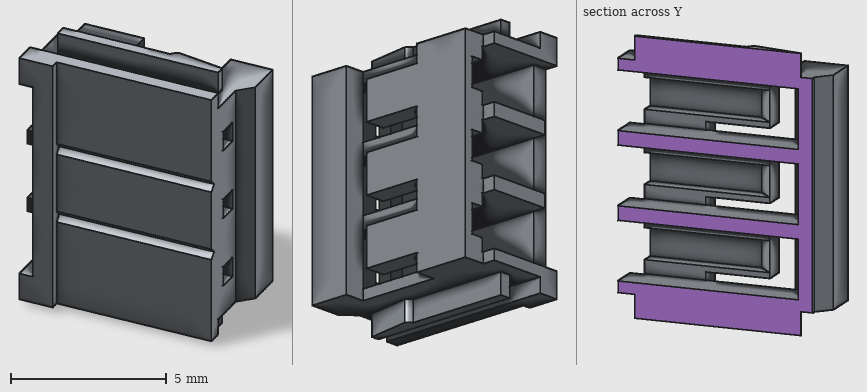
import cadquery as cq


LENGTH = 7.2
DEPTH = 3.8
HEIGHT = 9.4

POSITIONS = 3
PITCH = 2.5
PARTITION = 0.5
CAVITY_HEIGHT = PITCH - PARTITION
CAVITY_FRONT = 0.58
CAVITY_BACK = 3.01
SIDE_WALL = 0.4
END_WALL = 0.5
OPENING_HEIGHT = POSITIONS * PITCH - PARTITION
BODY_HEIGHT = OPENING_HEIGHT + 2 * SIDE_WALL
PIN_HOLE = 0.7
PIN_HOLE_Y = 1.485

BODY_LENGTH = 6.73
OPENING_SETBACK = 0.48
REAR_STEP_Y = 2.95
LATCH_OVERHANG = LENGTH - BODY_LENGTH
LATCH_Y = 2.06

PLATE_HEIGHT = 8.92
PLATE_DEPTH = 0.79
COLLAR_LENGTH = 1.19
COLLAR_RISE = 0.29
GROOVE_WIDTH = 0.395
GROOVE_DEPTH = 0.2

WINDOW_START = 2.6
WINDOW_END = 5.7
LANCE_END = 4.81
LANCE_HEIGHT = 1.46
CHANNEL_HEIGHT = 1.06
CHANNEL_BACK = 3.49

RAIL_START = 0.58
RAIL_END = 6.33
RAIL_FRONT = 1.61
RAIL_BACK = 2.01
CATCH_START = 4.42
CATCH_PEAK_X = 4.63
CATCH_PEAK_Y = 2.2
CATCH_RADIUS = 0.39
CATCH_END_Y = 1.92

CAVITY_CENTRES = [(i - (POSITIONS - 1) / 2) * PITCH for i in range(POSITIONS)]
PARTITION_CENTRES = [z + PITCH / 2 for z in CAVITY_CENTRES[:-1]]


def block(x_range, y_range, height, z_centre=0.0):
    """Box between X and Y limits, centred on a height in Z."""
    (x0, x1), (y0, y1) = x_range, y_range
    return (
        cq.Workplane("XY")
        .box(x1 - x0, y1 - y0, height, centered=(False, False, True))
        .translate((x0, y0, z_centre))
    )


def prism(points, height, z_centre=0.0):
    """Extrude an XY outline, centred on a height in Z."""
    return (
        cq.Workplane("XY")
        .polyline(points)
        .close()
        .extrude(height / 2, both=True)
        .translate((0, 0, z_centre))
    )


def make_body():
    """Body with the stepped opening end and the chamfered rear overhang."""
    outline = [
        (0, COLLAR_RISE),
        (BODY_LENGTH, COLLAR_RISE),
        (BODY_LENGTH, LATCH_Y),
        (LENGTH, LATCH_Y + LATCH_OVERHANG),
        (LENGTH, DEPTH),
        (OPENING_SETBACK, DEPTH),
        (OPENING_SETBACK, REAR_STEP_Y),
        (0, REAR_STEP_Y),
    ]
    return prism(outline, BODY_HEIGHT)


def make_front_plate():
    """Wide front plate with a raised collar at the opening."""
    plate = block((0, BODY_LENGTH), (COLLAR_RISE, PLATE_DEPTH), PLATE_HEIGHT)
    collar = block((0, COLLAR_LENGTH), (0, PLATE_DEPTH), PLATE_HEIGHT)
    return plate.union(collar)


def make_rails():
    """Rail on both Z sides, formed as one prism through the body."""
    return (
        cq.Workplane("XY")
        .moveTo(RAIL_START, RAIL_FRONT)
        .lineTo(RAIL_START, RAIL_BACK)
        .lineTo(CATCH_START, RAIL_BACK)
        .radiusArc((CATCH_PEAK_X, CATCH_PEAK_Y), CATCH_RADIUS)
        .lineTo(RAIL_END, CATCH_END_Y)
        .lineTo(RAIL_END, RAIL_FRONT)
        .close()
        .extrude(HEIGHT / 2, both=True)
    )


def make_groove(z):
    """V groove along the front face, from the collar to the +X end."""
    half = GROOVE_WIDTH / 2
    return (
        cq.Workplane("YZ", origin=(COLLAR_LENGTH, COLLAR_RISE, z))
        .polyline([(0, -half), (GROOVE_DEPTH, 0), (0, half)])
        .close()
        .extrude(BODY_LENGTH - COLLAR_LENGTH)
    )


def make_cavity(z):
    """Contact cavity, open towards -X, with a square pin hole in its end wall."""
    cavity = block((0, BODY_LENGTH - END_WALL), (CAVITY_FRONT, CAVITY_BACK), CAVITY_HEIGHT, z)
    hole_y = (PIN_HOLE_Y - PIN_HOLE / 2, PIN_HOLE_Y + PIN_HOLE / 2)
    return cavity.union(block((0, LENGTH), hole_y, PIN_HOLE, z))


def make_channel(z):
    """Channel in the rear wall and lance, ending in a 45 degree ramp."""
    ramp = CHANNEL_BACK - CAVITY_BACK
    outline = [
        (0, CAVITY_BACK),
        (LANCE_END, CAVITY_BACK),
        (LANCE_END - ramp, CHANNEL_BACK),
        (0, CHANNEL_BACK),
    ]
    return prism(outline, CHANNEL_HEIGHT, z)


housing = make_body().union(make_front_plate()).union(make_rails())

housing = housing.cut(block((0, OPENING_SETBACK), (0, CAVITY_FRONT), OPENING_HEIGHT))

housing = housing.cut(block((WINDOW_START, WINDOW_END), (CAVITY_BACK, DEPTH), BODY_HEIGHT))
for z in CAVITY_CENTRES:
    lance = block((WINDOW_START, LANCE_END), (CAVITY_BACK, DEPTH), LANCE_HEIGHT, z)
    housing = housing.union(lance)

for z in CAVITY_CENTRES:
    housing = housing.cut(make_cavity(z)).cut(make_channel(z))

for z in PARTITION_CENTRES:
    housing = housing.cut(make_groove(z))

result = housing